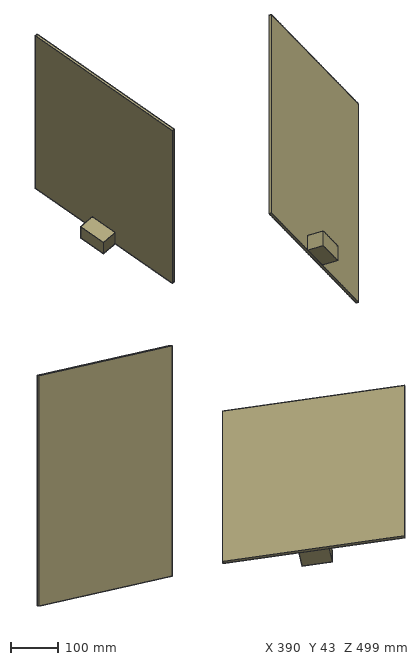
import cadquery as cq

panel_width = 390.0
panel_height = 499.0
panel_thickness = 6.0

block_width = 65.0
block_depth = 37.0
block_height = 37.0


def make_panel():
    """Thin rectangular sheet behind the Y = 0 plane."""
    return cq.Workplane("XY").box(
        panel_width, panel_thickness, panel_height, centered=(True, False, False)
    )


def make_block():
    """Plain block in front of the panel, flush with its bottom edge."""
    return (
        cq.Workplane("XY")
        .box(block_width, block_depth, block_height, centered=(True, False, False))
        .translate((0, -block_depth, 0))
    )


panel = make_panel()
block = make_block()

result = cq.Compound.makeCompound([panel.val(), block.val()])